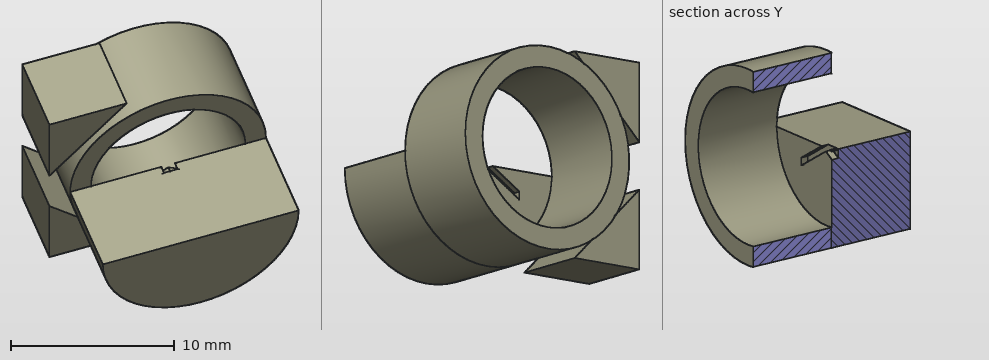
import cadquery as cq

outer_diameter = 12.69
bore_diameter = 10.0
ring_length = 6.0
half_cylinder_length = ring_length

wedge_leg = 5.0
wedge_length = wedge_leg
wedge_start = (ring_length - wedge_length) / 2
wedge_outer_y = -7.5
wedge_outer_z = 6.48

groove_depth = 0.5
groove_height = 0.5
groove_half_width = 2.5
groove_apex_drop = 0.22
groove_end_drop = 1.81


def make_ring():
    return (
        cq.Workplane("YZ")
        .circle(outer_diameter / 2)
        .circle(bore_diameter / 2)
        .extrude(ring_length)
    )


def make_groove_cutter():
    lower_edge = [
        (-groove_half_width, -groove_end_drop),
        (0, -groove_apex_drop),
        (groove_half_width, -groove_end_drop),
    ]
    upper_edge = [(y, z + groove_height) for y, z in reversed(lower_edge)]
    return (
        cq.Workplane("YZ", origin=(ring_length, 0, 0))
        .polyline(lower_edge + upper_edge)
        .close()
        .extrude(groove_depth)
    )


def make_half_cylinder():
    radius = outer_diameter / 2
    half_round = (
        cq.Workplane("YZ", origin=(ring_length, 0, 0))
        .moveTo(-radius, 0)
        .threePointArc((0, -radius), (radius, 0))
        .close()
        .extrude(half_cylinder_length)
    )
    return half_round.cut(make_groove_cutter())


def make_wedge(side):
    """Wedge above (side = 1) or below (side = -1) the ring axis."""
    corner_z = side * wedge_outer_z
    return (
        cq.Workplane("YZ", origin=(wedge_start, 0, 0))
        .polyline([
            (wedge_outer_y, corner_z),
            (wedge_outer_y + wedge_leg, corner_z),
            (wedge_outer_y, corner_z - side * wedge_leg),
        ])
        .close()
        .extrude(wedge_length)
    )


ring = make_ring()
half_cylinder = make_half_cylinder()
wedges = [make_wedge(side) for side in (1, -1)]

result = cq.Compound.makeCompound(
    [ring.val(), half_cylinder.val(), *[wedge.val() for wedge in wedges]]
)